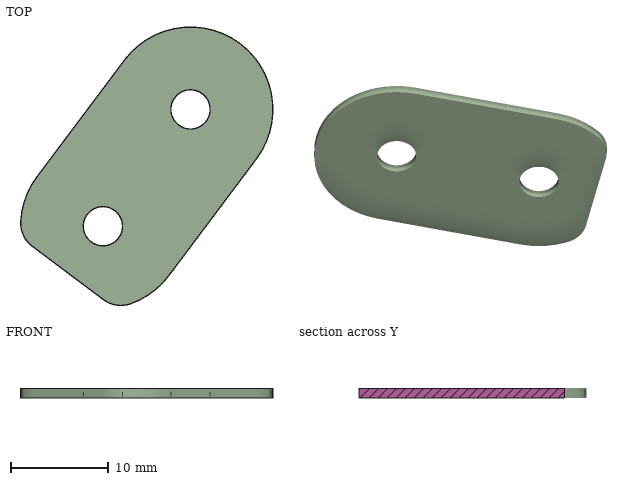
import cadquery as cq
import math

thickness = 1.0
hole_diameter = 4.0
hole_spacing = 15.0
end_radius = 8.48
flat_distance = 6.02
corner_radius = 3.0
tilt = math.degrees(math.atan2(4, 3))

length = flat_distance + hole_spacing + end_radius
slot = (
    cq.Workplane("XY")
    .center(hole_spacing / 2, 0)
    .slot2D(hole_spacing + 2 * end_radius, 2 * end_radius)
    .extrude(thickness)
)
flat_end_limit = (
    cq.Workplane("XY")
    .box(length, 2 * end_radius, thickness, centered=(False, True, False))
    .translate((-flat_distance, 0, 0))
)
plate = slot.intersect(flat_end_limit)

plate = plate.faces("<X").edges("|Z").fillet(corner_radius)

holes = (
    cq.Workplane("XY")
    .pushPoints([(0, 0), (hole_spacing, 0)])
    .circle(hole_diameter / 2)
    .extrude(thickness)
)
plate = plate.cut(holes)

result = plate.rotate((0, 0, 0), (0, 0, 1), tilt)